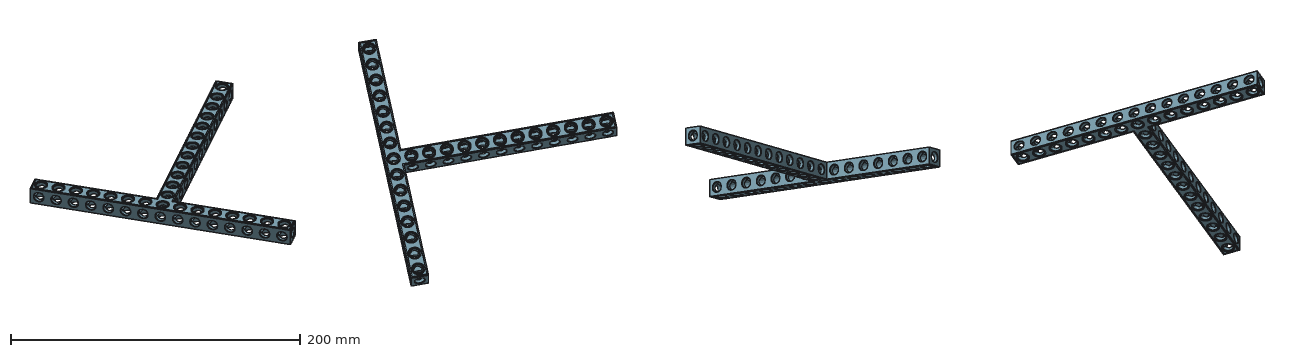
import cadquery as cq

LENGTH = 187.5
BAR_HOLES = 15
STEM_HOLES = 12
HOLE_DIAMETER = 7.0
HOLE_CHAMFER = 0.4
COUNTERBORE_DIAMETER = 9.2
EDGE_CHAMFER = 0.28
PANEL_MARGIN = 1.1
PANEL_HEIGHT = 0.1

PITCH = LENGTH / BAR_HOLES
HALF_PITCH = PITCH / 2
STEM_LENGTH = STEM_HOLES * PITCH

bar_xs = [(i - (BAR_HOLES - 1) / 2) * PITCH for i in range(BAR_HOLES)]
stem_ys = [(i + 1) * PITCH for i in range(STEM_HOLES)]


def tee(height, margin=0.0):
    """T-shaped plate centred on Z = 0, with its outline drawn inwards by margin."""
    width = PITCH - 2 * margin
    bar = cq.Workplane("XY").box(LENGTH - 2 * margin, width, height)
    stem = (
        cq.Workplane("XY", origin=(0, STEM_LENGTH / 2, 0))
        .box(width, STEM_LENGTH + width, height)
    )
    return bar.union(stem)


def body():
    """Chamfered T with a slightly raised panel on its top and bottom."""
    core = tee(PITCH - 2 * PANEL_HEIGHT).edges().chamfer(EDGE_CHAMFER)
    return core.union(tee(PITCH, PANEL_MARGIN))


def bore(length, mouth_recess=0.0):
    """Cutter along Z, centred on the origin, flared by a chamfer at both mouths.

    A mouth recess adds a shallow counterbore of that depth outside each chamfer.
    """
    radius = HOLE_DIAMETER / 2
    mouth_radius = radius + HOLE_CHAMFER
    mouth = length / 2 - mouth_recess
    cutter = (
        cq.Workplane("XZ")
        .moveTo(0, -mouth)
        .lineTo(mouth_radius, -mouth)
        .lineTo(radius, HOLE_CHAMFER - mouth)
        .lineTo(radius, mouth - HOLE_CHAMFER)
        .lineTo(mouth_radius, mouth)
        .lineTo(0, mouth)
        .close()
        .revolve(360, (0, 0, 0), (0, 1, 0))
    )
    if mouth_recess > 0:
        full = cq.Workplane("XY").circle(COUNTERBORE_DIAMETER / 2).extrude(length / 2, both=True)
        middle = cq.Workplane("XY").box(PITCH, PITCH, 2 * mouth)
        cutter = cutter.union(full.cut(middle))
    return cutter


def placed(cutter, points):
    """Copies of the cutter at all points, as one compound."""
    copies = [cutter.val().translate(cq.Vector(*point)) for point in points]
    return cq.Workplane(cq.Compound.makeCompound(copies))


def along_x(cutter):
    return cutter.rotate((0, 0, 0), (0, 1, 0), 90)


def along_y(cutter):
    return cutter.rotate((0, 0, 0), (1, 0, 0), 90)


vertical_points = [(x, 0, 0) for x in bar_xs] + [(0, y, 0) for y in stem_ys]
vertical_holes = placed(bore(PITCH, PANEL_HEIGHT), vertical_points)

bar_cross_holes = placed(along_y(bore(PITCH)), [(x, 0, 0) for x in bar_xs if abs(x) > HALF_PITCH])
stem_long_hole = along_y(bore(PITCH + STEM_LENGTH)).translate((0, STEM_LENGTH / 2, 0))

stem_cross_holes = placed(along_x(bore(PITCH)), [(0, y, 0) for y in stem_ys])
bar_long_hole = along_x(bore(LENGTH))

beam = body()
for holes in (vertical_holes, bar_cross_holes, stem_long_hole, stem_cross_holes, bar_long_hole):
    beam = beam.cut(holes)

result = beam.solids()